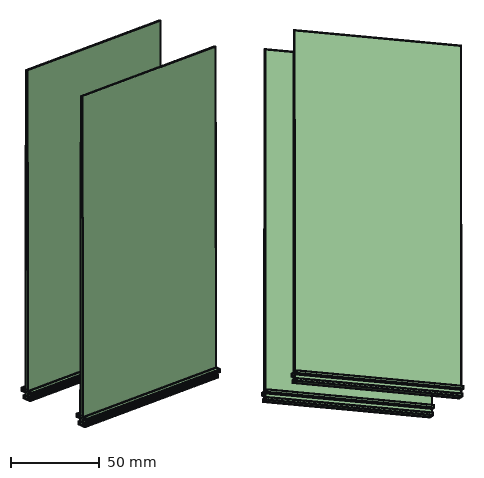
import cadquery as cq

overall_width = 55.5
panel_length = 100.0
panel_height = 203.8

flange_width = 9.0
flange_thickness = 1.5
flange_bottom = 4.0
flange_top = flange_bottom + flange_thickness
foot_width = 5.5
foot_thickness = 1.5

web_thickness = 2.5
tip_thickness = 1.41

panel_offset = (overall_width - flange_width) / 2


def extrude_along_y(sketch):
    """Extrude an XZ outline over the panel length, centred on Y = 0."""
    return sketch.extrude(panel_length / 2, both=True)


def rail_plate(width, thickness, bottom):
    """A flat strip of the rail, centred under the web."""
    outline = cq.Workplane("XZ").center(0, bottom + thickness / 2).rect(width, thickness)
    return extrude_along_y(outline)


def tapered_panel():
    """The upright panel and web: sides lean in evenly to a fully rounded top edge."""
    web_half = web_thickness / 2
    tip_radius = tip_thickness / 2
    arc_start = panel_height - tip_radius
    outline = (
        cq.Workplane("XZ")
        .moveTo(-web_half, 0)
        .lineTo(web_half, 0)
        .lineTo(web_half, flange_top)
        .lineTo(tip_radius, arc_start)
        .threePointArc((0, panel_height), (-tip_radius, arc_start))
        .lineTo(-web_half, flange_top)
        .close()
    )
    return extrude_along_y(outline)


def side_panel():
    """One complete panel with its foot rail, as a single solid."""
    foot = rail_plate(foot_width, foot_thickness, 0)
    flange = rail_plate(flange_width, flange_thickness, flange_bottom)
    return tapered_panel().union(foot).union(flange)


side_panels = []
for side in (-1, 1):
    panel = side_panel().translate((side * panel_offset, 0, 0))
    side_panels.append(panel.val())

result = cq.Compound.makeCompound(side_panels)